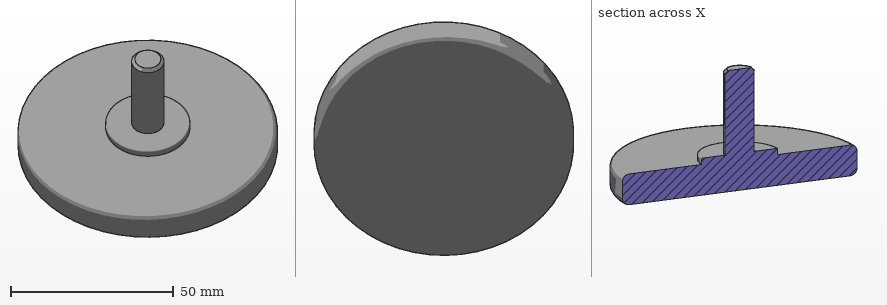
import cadquery as cq

base_diameter = 80.0
base_height = 10.0
base_edge_radius = 2.5

collar_diameter = 26.0
collar_height = 2.0
collar_edge_radius = 0.5

stud_diameter = 10.0
overall_height = 39.0
stud_chamfer = 1.0
stud_length = overall_height - base_height - collar_height


def make_base():
    """Disc resting on Z = 0 with both rims rounded."""
    disc = cq.Workplane("XY").circle(base_diameter / 2).extrude(base_height)
    return disc.edges().fillet(base_edge_radius)


def make_collar():
    """Collar on the disc with a rounded upper rim."""
    collar = (
        cq.Workplane("XY")
        .workplane(offset=base_height)
        .circle(collar_diameter / 2)
        .extrude(collar_height)
    )
    return collar.faces(">Z").edges().fillet(collar_edge_radius)


def make_stud():
    """Plain stud on the collar with a chamfered tip."""
    stud = (
        cq.Workplane("XY")
        .workplane(offset=base_height + collar_height)
        .circle(stud_diameter / 2)
        .extrude(stud_length)
    )
    return stud.faces(">Z").edges().chamfer(stud_chamfer)


result = make_base().union(make_collar()).union(make_stud())